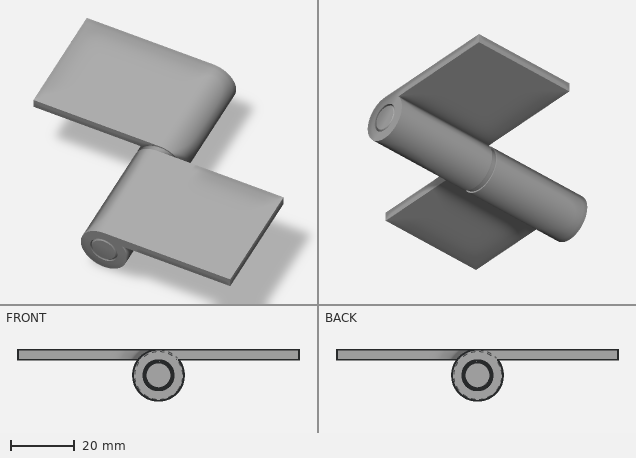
import cadquery as cq

knuckle_diameter = 16.0
leaf_reach = 44.0
leaf_length = 38.0
leaf_thickness = 3.2
leaf_gap = 2.0
bore_diameter = 9.5
pin_diameter = 9.0
pin_end_chamfer = 0.5
collar_diameter = 15.0

knuckle_radius = knuckle_diameter / 2
hinge_length = 2 * leaf_length + leaf_gap


def cylinder_along_y(diameter, length):
    """Cylinder on the hinge axis, centred on the origin."""
    start = cq.Workplane("XZ", origin=(0, length / 2, 0))
    return start.circle(diameter / 2).extrude(length)


def make_leaf(side):
    """Flat leaf tangent to the top of its bored knuckle: side +1 lies at +X, -Y and side -1 at -X, +Y."""
    center_y = -side * (leaf_length + leaf_gap) / 2
    plate = (
        cq.Workplane("XY")
        .box(leaf_reach, leaf_length, leaf_thickness)
        .translate((side * leaf_reach / 2, 0, knuckle_radius - leaf_thickness / 2))
    )
    knuckle = cylinder_along_y(knuckle_diameter, leaf_length)
    bore = cylinder_along_y(bore_diameter, leaf_length)
    return knuckle.union(plate).cut(bore).translate((0, center_y, 0))


def make_pin():
    """Pin through both knuckles, with chamfered ends and a collar that spaces the leaves apart."""
    shaft = cylinder_along_y(pin_diameter, hinge_length).faces("<Y or >Y").chamfer(pin_end_chamfer)
    collar = cylinder_along_y(collar_diameter, leaf_gap)
    return shaft.union(collar)


leaves = [make_leaf(side) for side in (1, -1)]
pin = make_pin()

result = cq.Compound.makeCompound([*[leaf.val() for leaf in leaves], pin.val()])